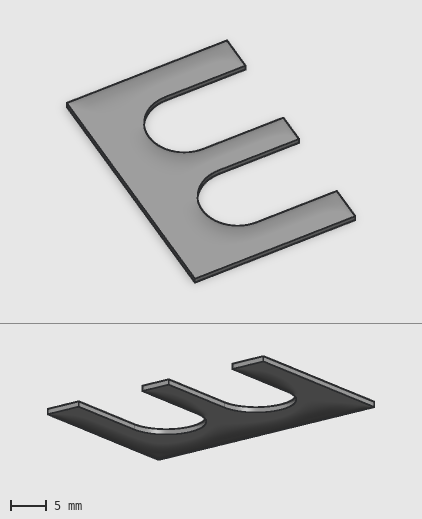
import cadquery as cq

plate_length = 38.1
plate_width = 25.4
plate_thickness = 0.8

slot_width = 11.25
slot_spacing = 15.9
slot_radius = slot_width / 2
slot_depth = plate_width / 2


def open_slot(center_x):
    """Cutter for one slot whose round end is centred on the middle of the plate width."""
    round_end = cq.Workplane("XY").center(center_x, 0).circle(slot_radius).extrude(plate_thickness)
    straight_run = (
        cq.Workplane("XY")
        .center(center_x, slot_depth / 2)
        .rect(slot_width, slot_depth)
        .extrude(plate_thickness)
    )
    return round_end.union(straight_run)


result = cq.Workplane("XY").rect(plate_length, plate_width).extrude(plate_thickness)
for side in (-1, 1):
    result = result.cut(open_slot(side * slot_spacing / 2))